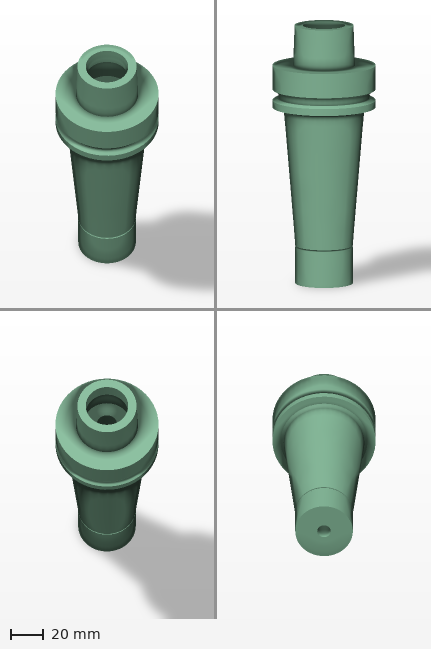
import cadquery as cq

total_height = 160.0
taper_length = 24.6
flange_width = 26.0
flange_top = total_height - taper_length
flange_bottom = flange_top - flange_width

taper_top_radius = 18.0
taper_base_radius = 19.0
bore_mouth_radius = 13.0
bore_mouth_depth = 10.0
bore_relief_radius = 14.5
bore_depth = 24.6
coolant_bore_radius = 6.2

flange_radius = 31.5
upper_rim_width = 15.0
lower_rim_width = 4.3
groove_radius = 27.7
groove_chamfer_width = 2.4
groove_chamfer_height = 1.5
collar_top_radius = 26.5
collar_bottom_radius = 24.6
collar_height = 2.0

body_end_radius = 17.6
neck_radius = 14.0
neck_height = 1.0
end_ring_height = 1.8

nut_height = 20.6
nut_radius = body_end_radius
nut_hole_radius = 4.2


def revolve_profile(points):
    """Revolve a closed (radius, z) outline a full turn about the Z axis."""
    return cq.Workplane("XZ").polyline(points).close().revolve(360, (0, 0), (0, 1))


def bore_cut(radius, bottom, top):
    """Cylinder on the Z axis between two heights."""
    return cq.Workplane("XY").workplane(offset=bottom).circle(radius).extrude(top - bottom)


def make_holder():
    """Holder: taper, grooved flange, long conical body, neck and end ring, bored through."""
    groove_top = flange_top - upper_rim_width
    groove_bottom = flange_bottom + lower_rim_width
    groove_shoulder_radius = flange_radius - groove_chamfer_width
    neck_bottom = nut_height + end_ring_height
    neck_top = neck_bottom + neck_height
    outline = [
        (0, nut_height),
        (body_end_radius, nut_height),
        (body_end_radius, neck_bottom),
        (neck_radius, neck_bottom),
        (neck_radius, neck_top),
        (body_end_radius, neck_top),
        (collar_bottom_radius, flange_bottom - collar_height),
        (collar_top_radius, flange_bottom),
        (flange_radius, flange_bottom),
        (flange_radius, groove_bottom),
        (groove_shoulder_radius, groove_bottom + groove_chamfer_height),
        (groove_radius, groove_bottom + groove_chamfer_height),
        (groove_radius, groove_top - groove_chamfer_height),
        (groove_shoulder_radius, groove_top - groove_chamfer_height),
        (flange_radius, groove_top),
        (flange_radius, flange_top),
        (taper_base_radius, flange_top),
        (taper_top_radius, total_height),
        (0, total_height),
    ]
    relief_top = total_height - bore_mouth_depth
    relief_bottom = total_height - bore_depth
    return (
        revolve_profile(outline)
        .cut(bore_cut(bore_mouth_radius, relief_top, total_height))
        .cut(bore_cut(bore_relief_radius, relief_bottom, relief_top))
        .cut(bore_cut(coolant_bore_radius, nut_height, relief_bottom))
    )


def make_nut():
    """Nut: plain ring against the lower face of the holder."""
    return cq.Workplane("XY").circle(nut_radius).circle(nut_hole_radius).extrude(nut_height)


holder = make_holder()
nut = make_nut()

result = cq.Compound.makeCompound([holder.val(), nut.val()])